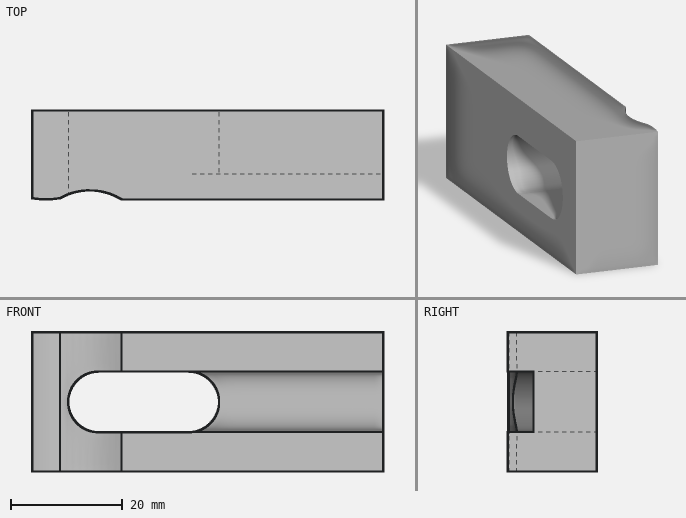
import cadquery as cq

length = 63.0
depth = 16.0
height = 25.0

nose_width = 5.0
nose_setback = 0.22
relief_end_x = 16.05
relief_peak_x = 10.35
relief_depth = 1.65

slot_start_x = 6.5
slot_end_x = 33.5
slot_width = 10.85
channel_depth = 4.6


def make_body():
    """Extrude the plan outline, with its nose and relief arcs, upward in Z."""
    return (
        cq.Workplane("XY")
        .moveTo(0, nose_setback)
        .threePointArc((nose_width / 2, 0), (nose_width, nose_setback))
        .threePointArc((relief_peak_x, relief_depth), (relief_end_x, 0))
        .lineTo(length, 0)
        .lineTo(length, depth)
        .lineTo(0, depth)
        .close()
        .extrude(height)
    )


def make_slot():
    """Round-ended cutter passing through the full depth in Y."""
    return (
        cq.Workplane("XZ")
        .center((slot_start_x + slot_end_x) / 2, height / 2)
        .slot2D(slot_end_x - slot_start_x, slot_width)
        .extrude(-depth)
    )


def make_channel():
    """Open-ended cutter from the slot's first arc centre to the +X end."""
    start_x = slot_start_x + slot_width / 2
    return cq.Workplane("XY").box(
        length - start_x, channel_depth, slot_width, centered=False
    ).translate((start_x, 0, (height - slot_width) / 2))


result = make_body().cut(make_slot()).cut(make_channel())